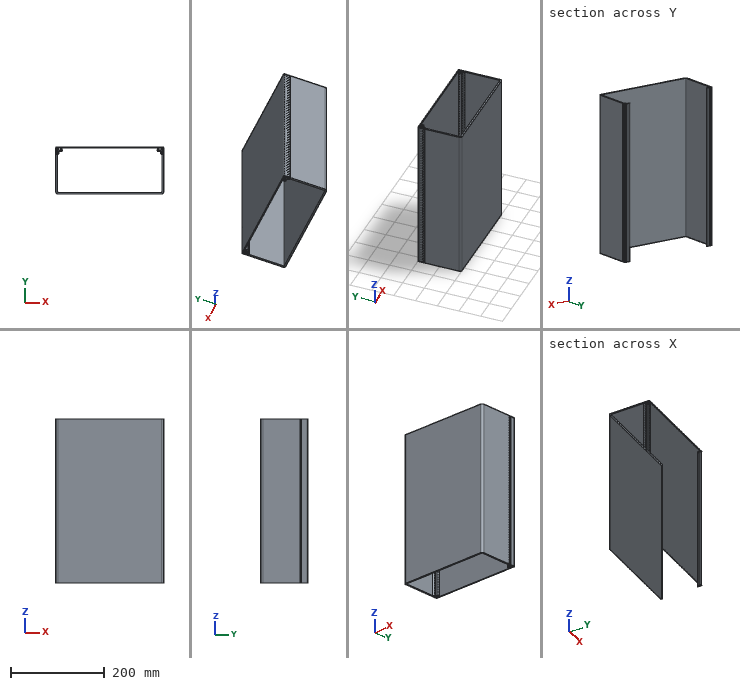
import cadquery as cq

WIDTH = 230.0
DEPTH = 100.5
HEIGHT = 350.0
HALF_WIDTH = WIDTH / 2
BACK = DEPTH / 2

WALL = 4.0
OUTER_RADIUS = 5.0
INNER_RADIUS = OUTER_RADIUS - WALL
WALL_TOP_DROP = 15.8

PLATE = 2.5
SKIRT = PLATE
SKIRT_LENGTH = 14.5
COVER_RADIUS = 2.0
HOOK_REACH = 2.0
HOOK_BOTTOM_DROP = 12.0

NECK_OUTER_INSET = 5.0
NECK_INNER_INSET = 7.5
NECK_FOOT_DROP = 12.0
NECK_BRACE_DROP = 13.0
BRACE_TOP_DROP = 13.5
BRACE_FOOT_DROP = 16.8
SKIRT_CLEARANCE = 0.5
BRACE_OUTER_INSET = SKIRT + SKIRT_CLEARANCE
STUB_OUTER_INSET = 4.0
STUB_INNER_INSET = 6.3
ARM_TOP_DROP = 7.0
ARM_BOTTOM_DROP = 9.8
LIP_START_INSET = 9.8
LIP_END_INSET = 14.0
LIP_TOP_DROP = 4.2
LIP_RADIUS = 2.5
SLIT_HEIGHT = 0.7
SLIT_END_INSET = 11.2


def block(inset_start, inset_end, drop_start, drop_end):
    """Full-height bar on the left side, placed by its insets and drops."""
    return (
        cq.Workplane("XY")
        .box(inset_end - inset_start, drop_end - drop_start, HEIGHT, centered=False)
        .translate((inset_start - HALF_WIDTH, BACK - drop_end, 0))
    )


def add_both_sides(body, feature):
    """Join a left-side feature and its mirror image to a body."""
    return body.union(feature).union(feature.mirror("YZ"))


def make_snap_rail():
    neck = (
        cq.Workplane("XY", origin=(-HALF_WIDTH, BACK, 0))
        .moveTo(WALL, -BRACE_FOOT_DROP)
        .lineTo(BRACE_OUTER_INSET, -BRACE_FOOT_DROP)
        .lineTo(BRACE_OUTER_INSET, -BRACE_TOP_DROP)
        .lineTo(NECK_OUTER_INSET, -NECK_FOOT_DROP)
        .lineTo(NECK_OUTER_INSET, -ARM_TOP_DROP)
        .lineTo(NECK_INNER_INSET, -ARM_TOP_DROP)
        .lineTo(NECK_INNER_INSET, -NECK_BRACE_DROP)
        .close()
        .extrude(HEIGHT)
    )
    arm = block(BRACE_OUTER_INSET, LIP_START_INSET, ARM_TOP_DROP, ARM_BOTTOM_DROP)
    stub = block(STUB_OUTER_INSET, STUB_INNER_INSET, PLATE, ARM_TOP_DROP)
    lip = block(LIP_START_INSET, LIP_END_INSET, LIP_TOP_DROP, ARM_BOTTOM_DROP)
    lip = lip.edges("|Z and >X").fillet(LIP_RADIUS)
    slit = block(LIP_START_INSET, SLIT_END_INSET, ARM_TOP_DROP - SLIT_HEIGHT, ARM_TOP_DROP)
    return neck.union(arm).union(stub).union(lip.cut(slit))


def make_trough():
    wall_depth = DEPTH - WALL_TOP_DROP
    outer = cq.Workplane("XY").box(WIDTH, wall_depth, HEIGHT, centered=(True, False, False))
    outer = outer.edges("|Z and <Y").fillet(OUTER_RADIUS)
    inner = cq.Workplane("XY").box(WIDTH - 2 * WALL, wall_depth, HEIGHT, centered=(True, False, False))
    inner = inner.edges("|Z and <Y").fillet(INNER_RADIUS).translate((0, WALL, 0))
    walls = outer.cut(inner).translate((0, -BACK, 0))
    return add_both_sides(walls, make_snap_rail())


def make_cover():
    plate = block(0, WIDTH, 0, PLATE)
    skirt = block(0, SKIRT, 0, SKIRT_LENGTH)
    hook = block(0, SKIRT + HOOK_REACH, ARM_BOTTOM_DROP, HOOK_BOTTOM_DROP)
    shell = add_both_sides(plate, skirt).edges("|Z and >Y").fillet(COVER_RADIUS)
    return add_both_sides(shell, hook)


trough = make_trough()
cover = make_cover()

result = cq.Compound.makeCompound([trough.val(), cover.val()])